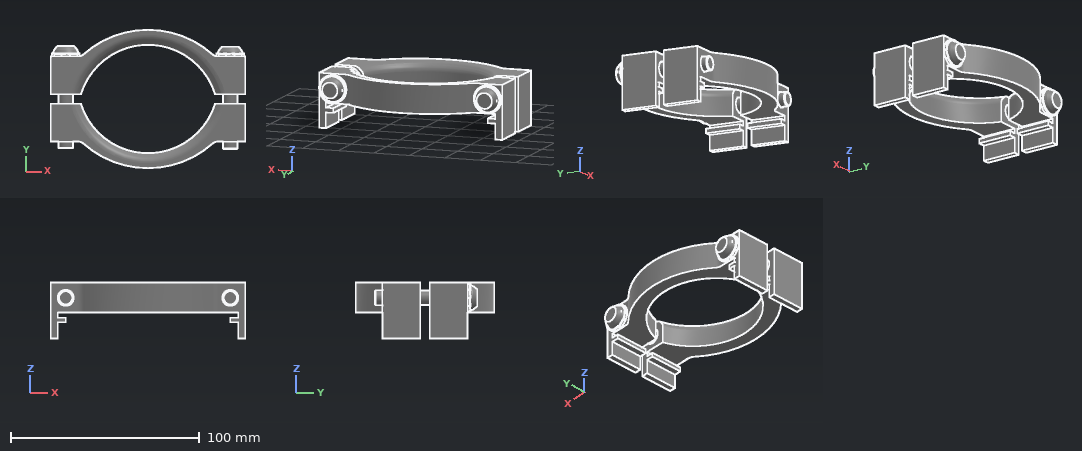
import cadquery as cq
import math

overall_width = 103.15
half_gap = 2.4
ear_face_y = 22.55
ring_height = 16.0
overall_height = 29.7
ring_apex_y = 36.7
outer_radius = 51.3
bore_apex_y = 28.65
bore_radius = 37.15
ear_fillet = 5.0
lip_fillet = 4.5
lead_in_size = 0.95

leg_thickness = 3.9
catch_length = 4.2
catch_thickness = 2.55
catch_drop = 2.6

hole_diameter = 8.49
screw_diameter = 7.84
screw_inset = 8.0
screw_drop = 8.15
head_diameter = 13.75
head_top_diameter = 8.6
head_height = 4.0
head_shoulder_diameter = 12.4
head_shoulder_height = 1.75
head_crown_diameter = 10.2
head_crown_height = 3.2
tip_chamfer = 0.45
shank_length = 50.4
left_screw_lift = 0.4
washer_diameter = 15.0
washer_core_thickness = 1.25
tooth_rise = 0.4
tooth_count = 10
tooth_slit = 0.2
tooth_clearance = 0.05

half_width = overall_width / 2
leg_inner_x = half_width - leg_thickness
screw_x = half_width - screw_inset
screw_z = -screw_drop
outer_center_y = ring_apex_y - outer_radius
bore_center_y = bore_apex_y - bore_radius
washer_seat_y = ear_face_y + washer_core_thickness


def clamp_outline():
    """Rear half: two ears joined by the ring, solid down to the parting gap."""
    fillet_center_y = ear_face_y + ear_fillet
    center_distance = outer_radius + ear_fillet
    rise = fillet_center_y - outer_center_y
    fillet_center_x = math.sqrt(center_distance**2 - rise**2)
    share = outer_radius / center_distance
    tangent_x = fillet_center_x * share
    tangent_y = outer_center_y + rise * share
    sweep = math.atan2(fillet_center_x, rise)
    mid_x = fillet_center_x - ear_fillet * math.sin(sweep / 2)
    mid_y = fillet_center_y - ear_fillet * math.cos(sweep / 2)
    return (
        cq.Workplane("XY")
        .moveTo(-half_width, half_gap)
        .lineTo(-half_width, ear_face_y)
        .lineTo(-fillet_center_x, ear_face_y)
        .threePointArc((-mid_x, mid_y), (-tangent_x, tangent_y))
        .threePointArc((0, ring_apex_y), (tangent_x, tangent_y))
        .threePointArc((mid_x, mid_y), (fillet_center_x, ear_face_y))
        .lineTo(half_width, ear_face_y)
        .lineTo(half_width, half_gap)
        .close()
        .extrude(-ring_height)
    )


def bore_cutter():
    """Bore whose top edge flares out through a fillet, a 45 degree cone and a fillet."""
    diagonal = math.sqrt(0.5)
    fillet_side = lip_fillet * diagonal
    fillet_rest = lip_fillet - fillet_side
    half_angle = math.radians(22.5)
    cone_foot_radius = bore_radius + fillet_rest
    cone_top_radius = cone_foot_radius + lead_in_size
    lip_radius = cone_top_radius + fillet_side
    cone_top_z = -fillet_rest
    cone_foot_z = cone_top_z - lead_in_size
    wall_top_z = cone_foot_z - fillet_side
    lower_mid = (
        bore_radius + lip_fillet * (1 - math.cos(half_angle)),
        wall_top_z + lip_fillet * math.sin(half_angle),
    )
    upper_mid = (
        lip_radius - lip_fillet * math.sin(half_angle),
        -lip_fillet * (1 - math.cos(half_angle)),
    )
    return (
        cq.Workplane("XZ")
        .moveTo(0, -ring_height)
        .lineTo(bore_radius, -ring_height)
        .lineTo(bore_radius, wall_top_z)
        .threePointArc(lower_mid, (cone_foot_radius, cone_foot_z))
        .lineTo(cone_top_radius, cone_top_z)
        .threePointArc(upper_mid, (lip_radius, 0))
        .lineTo(0, 0)
        .close()
        .revolve(360, (0, 0), (0, 1))
        .translate((0, bore_center_y, 0))
    )


def leg(side):
    """Leg under one ear with its inward catch; side is -1 for left, 1 for right."""
    catch_tip_x = leg_inner_x - catch_length
    catch_top_z = -ring_height - catch_drop
    catch_bottom_z = catch_top_z - catch_thickness
    corners = [
        (half_width, -ring_height),
        (half_width, -overall_height),
        (leg_inner_x, -overall_height),
        (leg_inner_x, catch_bottom_z),
        (catch_tip_x, catch_bottom_z),
        (catch_tip_x, catch_top_z),
        (leg_inner_x, catch_top_z),
        (leg_inner_x, -ring_height),
    ]
    return (
        cq.Workplane("XZ", origin=(0, half_gap, 0))
        .polyline([(side * x, z) for x, z in corners])
        .close()
        .extrude(half_gap - ear_face_y)
    )


def clamp_half():
    """Rear clamp half without washer seats."""
    body = clamp_outline().cut(bore_cutter())
    for side in (-1, 1):
        hole = (
            cq.Workplane("XZ", origin=(side * screw_x, 0, screw_z))
            .circle(hole_diameter / 2)
            .extrude(-ear_face_y)
        )
        body = body.union(leg(side)).cut(hole)
    return body


def washer_seat(x):
    """Space over an ear that keeps the ear fillet clear of the washer."""
    return (
        cq.Workplane("XZ", origin=(x, ear_face_y, screw_z))
        .circle(washer_diameter / 2)
        .extrude(-washer_core_thickness - tooth_rise)
    )


def screw(x, lift):
    """Screw along Y with a three-stage domed head; lift raises its head off the washer seat."""
    shank_radius = screw_diameter / 2
    return (
        cq.Workplane("XY")
        .moveTo(0, -shank_length)
        .lineTo(shank_radius - tip_chamfer, -shank_length)
        .lineTo(shank_radius, tip_chamfer - shank_length)
        .lineTo(shank_radius, 0)
        .lineTo(head_diameter / 2, 0)
        .lineTo(head_shoulder_diameter / 2, head_shoulder_height)
        .lineTo(head_crown_diameter / 2, head_crown_height)
        .lineTo(head_top_diameter / 2, head_height)
        .lineTo(0, head_height)
        .close()
        .revolve(360, (0, 0), (0, 1))
        .translate((x, washer_seat_y + lift, screw_z))
    )


def washer_tooth(rim_radius):
    """Tooth at the top of the washer, ramping up towards +X within its share of the rim."""
    washer_radius = washer_diameter / 2
    full_height = washer_core_thickness + tooth_rise
    half_pitch = math.pi / tooth_count
    sector_apex = tooth_slit / 2 / math.sin(half_pitch)
    tooth_half_width = (washer_radius - sector_apex) * math.tan(half_pitch)
    rim = (
        cq.Workplane("XZ")
        .circle(washer_radius)
        .circle(rim_radius)
        .extrude(-full_height)
    )
    sector = (
        cq.Workplane("XZ")
        .moveTo(0, sector_apex)
        .lineTo(tooth_half_width, washer_radius)
        .lineTo(-tooth_half_width, washer_radius)
        .close()
        .extrude(-full_height)
    )
    ramp = (
        cq.Workplane("XY")
        .moveTo(-tooth_half_width, 0)
        .lineTo(tooth_half_width, 0)
        .lineTo(tooth_half_width, full_height)
        .lineTo(-tooth_half_width, washer_core_thickness)
        .close()
        .extrude(washer_radius)
    )
    return ramp.intersect(sector).intersect(rim)


def washer(x):
    """Flat ring with separate ramp teeth standing around the screw head."""
    rim_radius = head_diameter / 2 + tooth_clearance
    body = (
        cq.Workplane("XZ")
        .circle(rim_radius)
        .circle(hole_diameter / 2)
        .extrude(-washer_core_thickness)
    )
    tooth = washer_tooth(rim_radius)
    for index in range(tooth_count):
        turn = index * 360 / tooth_count
        body = body.union(tooth.rotate((0, 0, 0), (0, 1, 0), turn))
    return body.translate((x, ear_face_y, screw_z))


plain_half = clamp_half()
front_clamp = plain_half.mirror("XZ")
rear_clamp = plain_half.cut(washer_seat(-screw_x)).cut(washer_seat(screw_x))
screws = [screw(-screw_x, left_screw_lift), screw(screw_x, 0)]
washers = [washer(side * screw_x) for side in (-1, 1)]

bodies = [rear_clamp, front_clamp, *screws, *washers]
result = cq.Compound.makeCompound([body.solids().val() for body in bodies])